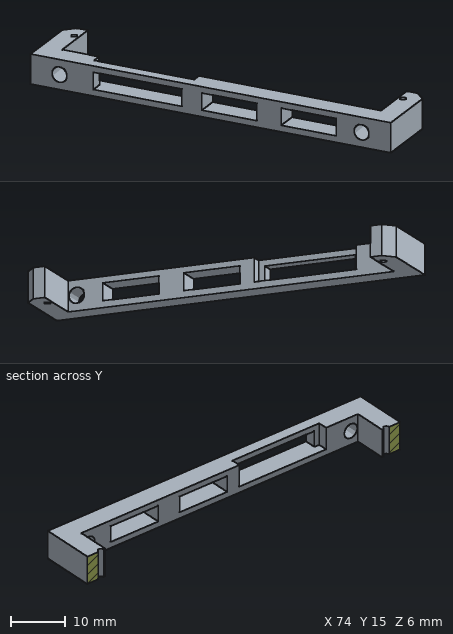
import cadquery as cq

length = 74.0
depth = 15.0
height = 6.0
bar_thickness = 4.5
arm_width = 4.3
tip_chamfer = 2.0

mount_diameter = 3.0
mount_inset = 6.0

pin_diameter = 1.2
pin_inset = 3.25
pin_from_tip = 3.55

windows = [(12.95, 18.1), (35.2, 11.25), (51.5, 11.25)]
window_bottom = 1.3
window_height = 3.4

pocket_left = 11.85
pocket_width = 20.5
pocket_depth = 2.0
pocket_floor = window_bottom


def box(x, y, z, x_size, y_size, z_size):
    """Box placed by its lowest corner."""
    return cq.Workplane("XY").box(x_size, y_size, z_size, centered=False).translate((x, y, z))


def mirrored_positions(inset):
    """X positions at the same distance from both ends."""
    return (inset, length - inset)


body = box(0, 0, 0, length, depth, height)
body = body.edges("|Z and >Y").chamfer(tip_chamfer)
opening = box(
    arm_width, bar_thickness, 0,
    length - 2 * arm_width, depth - bar_thickness, height,
)
body = body.cut(opening)

for left, width in windows:
    body = body.cut(box(left, 0, window_bottom, width, bar_thickness, window_height))

pocket = box(
    pocket_left, bar_thickness - pocket_depth, pocket_floor,
    pocket_width, pocket_depth, height - pocket_floor,
)
body = body.cut(pocket)

for x in mirrored_positions(mount_inset):
    hole = cq.Workplane("XZ", origin=(x, 0, height / 2)).circle(mount_diameter / 2).extrude(-bar_thickness)
    body = body.cut(hole)

for x in mirrored_positions(pin_inset):
    hole = cq.Workplane("XY", origin=(x, depth - pin_from_tip, 0)).circle(pin_diameter / 2).extrude(height)
    body = body.cut(hole)

result = body